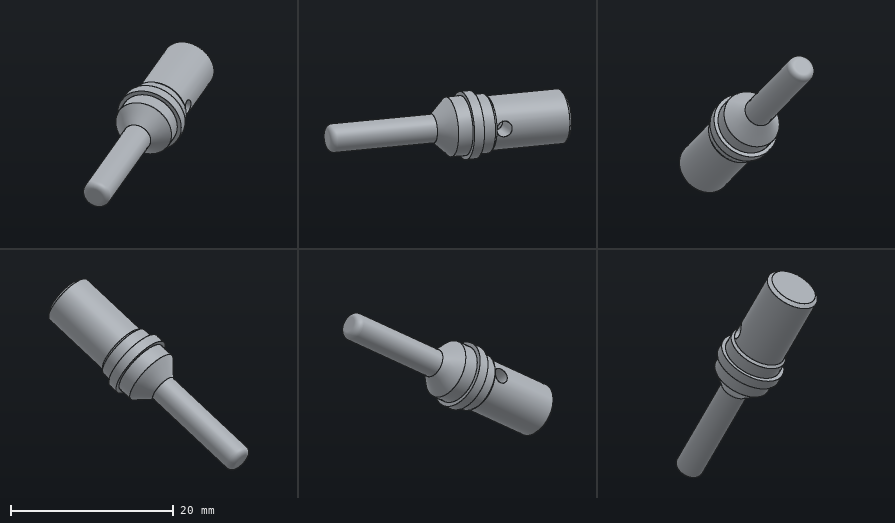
import cadquery as cq

total_length = 31.05
pin_radius = 1.8
pin_tip_fillet = 0.8
body_radius = 3.72
flange_radius = 4.25
barrel_radius = 3.4

barrel_length = 9.95
rear_body_length = 1.95
flange_length = 1.3
front_body_length = 1.9
cone_length = 2.08

barrel_bevel_length = 0.4
barrel_bevel_depth = 0.47
body_bevel = body_radius - barrel_radius

hole_diameter = 2.0

barrel_end = total_length / 2
body_end = barrel_end - barrel_length
flange_rear = body_end - rear_body_length
flange_front = flange_rear - flange_length
cone_base = flange_front - front_body_length
cone_tip = cone_base - cone_length
pin_end = -total_length / 2

hole_y = body_end + hole_diameter / 2


def cylinder(radius, start_y, end_y):
    """Cylinder on the Y axis from start_y up to end_y."""
    plane = cq.Workplane("XZ", origin=(0, start_y, 0))
    return plane.circle(radius).extrude(start_y - end_y)


def make_pin():
    pin = cylinder(pin_radius, pin_end, cone_tip)
    return pin.faces("<Y").edges().fillet(pin_tip_fillet)


def make_cone():
    outline = [
        (0, cone_tip),
        (pin_radius, cone_tip),
        (body_radius, cone_base),
        (0, cone_base),
    ]
    return cq.Workplane("XY").polyline(outline).close().revolve(360, (0, 0), (0, 1))


def make_body():
    body = cylinder(body_radius, cone_base, body_end)
    body = body.faces(">Y").edges().chamfer(body_bevel)
    return body.union(cylinder(flange_radius, flange_front, flange_rear))


def make_barrel():
    outline = [
        (0, body_end),
        (barrel_radius, body_end),
        (barrel_radius, barrel_end - barrel_bevel_length),
        (barrel_radius - barrel_bevel_depth, barrel_end),
        (0, barrel_end),
    ]
    return cq.Workplane("XY").polyline(outline).close().revolve(360, (0, 0), (0, 1))


def make_inspection_hole():
    """Cutter running from the part axis out through the +X side."""
    plane = cq.Workplane("YZ").center(hole_y, 0)
    return plane.circle(hole_diameter / 2).extrude(flange_radius)


solid_contact = make_pin().union(make_cone()).union(make_body()).union(make_barrel())
result = solid_contact.cut(make_inspection_hole())